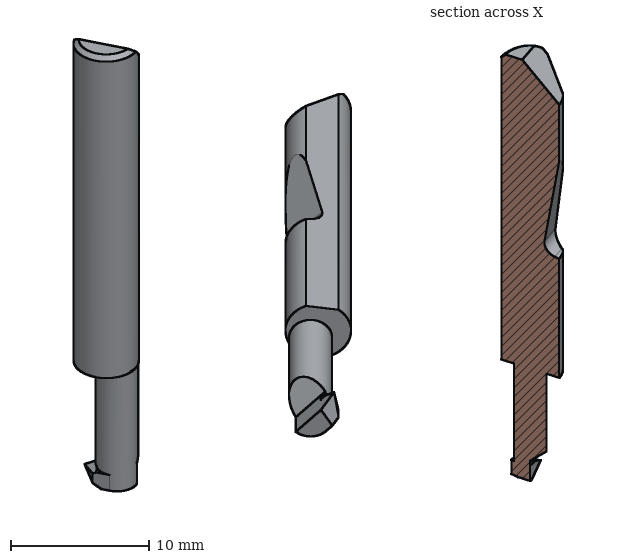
import cadquery as cq
import math

total_length = 38.1
shank_radius = 2.38
shank_bottom = 10.2
top_chamfer = 0.4
side_flat_distance = 2.05
side_flat_angle = 145.0
slant_edge_y = -0.65

notch_low_z = 21.07
notch_high_z = 29.87
notch_tilt = math.radians(8.9)
notch_fillet = 1.0

neck_radius = 1.55
neck_x = shank_radius - neck_radius
neck_relief_z = 1.83

tooth_height = 1.37
tip_x = -1.68
tip_z = 0.8
flank_slope = math.tan(math.radians(30))
flank_draft = 0.25
relief_x = -0.5
clearance_x = -0.23

margin = 0.75


def make_prism_along_x(points):
    """Prism of a (y, z) outline, wider than the shank."""
    return cq.Workplane("YZ").polyline(points).close().extrude(shank_radius + margin, both=True)


def make_shank():
    shank = cq.Workplane("XY").workplane(offset=shank_bottom)
    shank = shank.circle(shank_radius).extrude(total_length - shank_bottom)
    shank = shank.faces(">Z").chamfer(top_chamfer)

    flat_cutter = cq.Workplane("XY").box(
        shank_radius, 4 * shank_radius, total_length, centered=(False, True, False)
    )
    flat_cutter = flat_cutter.translate((side_flat_distance, 0, 0))
    shank = shank.cut(flat_cutter.rotate((0, 0, 0), (0, 0, 1), side_flat_angle))

    outer_y = shank_radius + margin
    slant_drop = outer_y - slant_edge_y
    slant = make_prism_along_x([
        (slant_edge_y - margin, total_length + margin),
        (outer_y, total_length + margin),
        (outer_y, total_length - slant_drop),
    ])
    return shank.cut(slant).cut(make_notch())


def make_notch():
    """Right-angled notch, tilted so that it deepens downward, with a rounded inner corner."""
    opening = notch_high_z - notch_low_z
    depth = opening * math.sin(notch_tilt)
    corner = (
        shank_radius - depth * math.cos(notch_tilt),
        notch_low_z + depth * math.sin(notch_tilt),
    )
    outer_y = shank_radius + margin
    notch = make_prism_along_x([
        corner,
        (outer_y, notch_low_z - margin * math.tan(notch_tilt)),
        (outer_y, notch_high_z + margin / math.tan(notch_tilt)),
    ])
    return notch.edges("|X and <Y").fillet(notch_fillet)


def make_neck():
    neck = cq.Workplane("XY").center(neck_x, 0).circle(neck_radius).extrude(shank_bottom)
    outer_y = neck_radius + margin
    relief = make_prism_along_x([
        (0, -margin),
        (0, neck_relief_z),
        (outer_y, neck_relief_z + outer_y),
        (outer_y, -margin),
    ])
    outer_x = neck_x - neck_radius - margin
    tooth_room = cq.Workplane("XZ").polyline([
        (outer_x, -margin),
        (outer_x, tooth_height + (clearance_x - outer_x) * flank_slope),
        (clearance_x, tooth_height),
        (neck_x, tooth_height),
        (neck_x, -margin),
    ]).close().extrude(neck_radius + margin)
    return neck.cut(relief).cut(tooth_room)


def tooth_outline(draft):
    """Outline in (x, z) of the pointed tooth, with the flanks moved inward by the draft."""
    inset_tip_x = tip_x + draft / flank_slope
    return [
        (inset_tip_x, tip_z),
        (inset_tip_x + (tooth_height - tip_z) / flank_slope, tooth_height),
        (neck_x, tooth_height),
        (neck_x, 0),
        (inset_tip_x + tip_z / flank_slope, 0),
    ]


def make_tooth():
    tooth = cq.Workplane("XZ").polyline(tooth_outline(0)).close()
    tooth = tooth.workplane(offset=neck_radius).polyline(tooth_outline(flank_draft)).close()
    tooth = tooth.loft(ruled=True)
    relief = cq.Workplane("XY").polyline([
        (tip_x, 0),
        (relief_x, -neck_radius),
        (tip_x, -neck_radius),
    ]).close().extrude(tooth_height)
    return tooth.cut(relief)


result = make_shank().union(make_neck()).union(make_tooth())